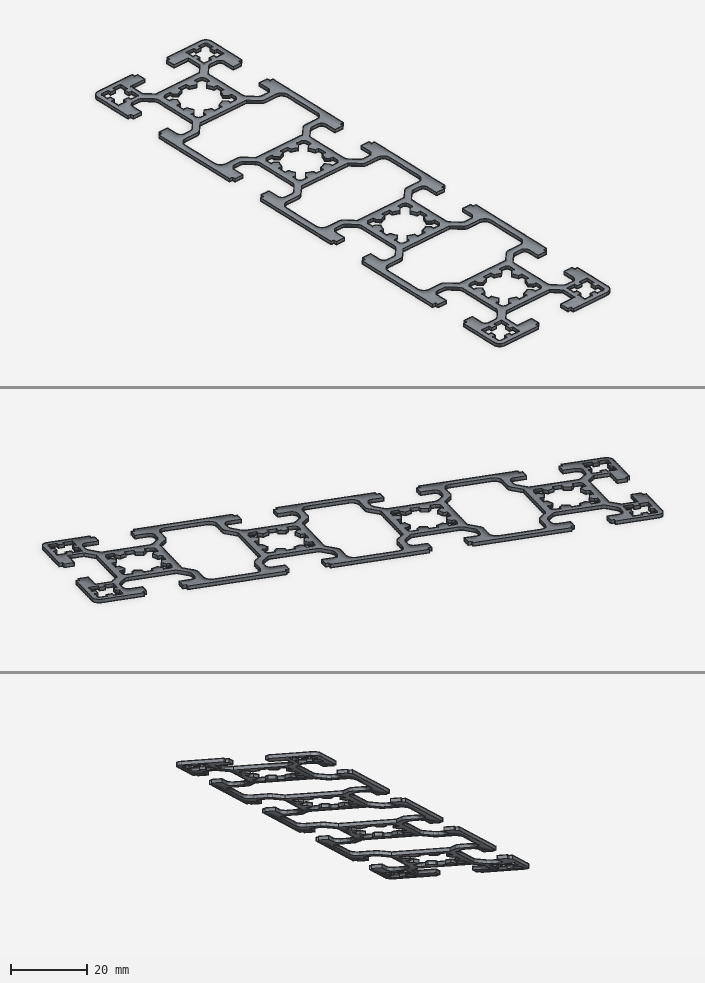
import cadquery as cq
import math

LENGTH = 160.0
WIDTH = 40.0
THICKNESS = 1.0
OUTER_CORNER_RADIUS = 2.0

CELL = WIDTH
CELL_COUNT = round(LENGTH / CELL)
HALF_CELL = CELL / 2
CELL_CENTRES = [(i - (CELL_COUNT - 1) / 2) * CELL for i in range(CELL_COUNT)]

WALL = 1.95
CORE_HALF = 9.0

SLOT_MOUTH_HALF = 5.1
SLOT_STEP = 1.0
LIP_THICKNESS = 3.9
SLOT_CAVITY_HALF = 10.1
SIDE_SLOT_FLOOR_HALF = 7.1
END_SLOT_FLOOR_HALF = 7.6
LIP_CORNER_RADIUS = 1.5
SLOPE_BLEND_RADIUS = 1.75

CHAMBER_CORNER_RADIUS = 2.2

CORE_HOLE_HALF = CORE_HALF - WALL
CORE_HOLE_CORNER_RADIUS = 1.2
TOOTH_CIRCLE_RADIUS = 6.0
TOOTH_INNER = 1.3
TOOTH_OUTER = 4.3
DIAGONAL_CHANNEL_WIDTH = 2.6

POCKET_SIZE = 7.0
POCKET_CENTRE_FROM_EDGE = 5.0
POCKET_OUTER_RADIUS = OUTER_CORNER_RADIUS - (POCKET_CENTRE_FROM_EDGE - POCKET_SIZE / 2)
POCKET_RIB_WIDTH = 1.7
POCKET_RIB_LENGTH = 1.0


def block(x_size, y_size):
    """Box of plate thickness standing on Z = 0, centred on the Z axis."""
    return cq.Workplane("XY").box(x_size, y_size, THICKNESS, centered=(True, True, False))


def make_cavity(floor_half):
    """Cutter for the hidden part of a T-slot: flat floor, 45 degree slopes, upright sides."""
    height = HALF_CELL - LIP_THICKNESS - CORE_HALF
    slope = SLOT_CAVITY_HALF - floor_half
    rectangle = block(2 * SLOT_CAVITY_HALF, height).translate((0, CORE_HALF + height / 2, 0))
    return rectangle.edges("|Z and <Y").chamfer(slope)


def make_mouth():
    """Cutter for the stepped mouth between the two lips of a T-slot."""
    depth = HALF_CELL - CORE_HALF
    mouth = block(2 * SLOT_MOUTH_HALF, depth).translate((0, HALF_CELL - depth / 2, 0))
    step_width = 2 * (SLOT_MOUTH_HALF + SLOT_STEP)
    step = block(step_width, SLOT_STEP).translate((0, HALF_CELL - SLOT_STEP / 2, 0))
    return mouth.union(step)


def make_side_slot():
    """Cutter for a slot in a long side, with rounded cavity, opening towards +Y."""
    cavity = make_cavity(SIDE_SLOT_FLOOR_HALF)
    cavity = cavity.edges("|Z and (not >Y)").fillet(SLOPE_BLEND_RADIUS)
    cavity = cavity.edges("|Z and >Y").fillet(LIP_CORNER_RADIUS)
    return cavity.union(make_mouth())


def make_end_slot():
    """Cutter for a slot in a short end, with sharp cavity corners, opening towards +Y."""
    return make_cavity(END_SLOT_FLOOR_HALF).union(make_mouth())


def make_chamber():
    """Cutter for the wide chamber centred between two cells."""
    throat_x = HALF_CELL - CORE_HALF
    waist_x = HALF_CELL - SLOT_CAVITY_HALF - WALL
    top_y = HALF_CELL - WALL
    slope_offset = CORE_HALF - SIDE_SLOT_FLOOR_HALF - WALL * math.sqrt(2)
    throat_y = HALF_CELL - throat_x + slope_offset
    waist_y = HALF_CELL - waist_x + slope_offset
    upper = [(-throat_x, throat_y), (-waist_x, waist_y), (-waist_x, top_y)]
    upper += [(-x, y) for x, y in reversed(upper)]
    lower = [(x, -y) for x, y in reversed(upper)]
    chamber = cq.Workplane("XY").polyline(upper + lower).close().extrude(THICKNESS)
    waist_corners = [(sx * waist_x, sy * waist_y) for sx in (-1, 1) for sy in (-1, 1)]
    for x, y in waist_corners:
        nearest = cq.selectors.NearestToPointSelector((x, y, THICKNESS / 2))
        chamber = chamber.edges("|Z").edges(nearest).fillet(SLOPE_BLEND_RADIUS)
    return chamber.edges("|Z and (>Y or <Y)").fillet(CHAMBER_CORNER_RADIUS)


def make_core_hole():
    """Cutter for the core hole: a square opening minus eight teeth pointing inwards."""
    side = 2 * CORE_HOLE_HALF
    opening = block(side, side).edges("|Z").fillet(CORE_HOLE_CORNER_RADIUS)
    tooth_width = TOOTH_OUTER - TOOTH_INNER
    tooth_x = (TOOTH_OUTER + TOOTH_INNER) / 2
    teeth = cq.Workplane("XY")
    for quarter in range(4):
        for sign in (-1, 1):
            tooth = block(tooth_width, CORE_HOLE_HALF).translate((sign * tooth_x, CORE_HOLE_HALF / 2, 0))
            teeth = teeth.add(tooth.rotate((0, 0, 0), (0, 0, 1), 90 * quarter))
    teeth = teeth.combine()
    teeth = teeth.cut(cq.Workplane("XY").circle(TOOTH_CIRCLE_RADIUS).extrude(THICKNESS))
    for angle in (45, 135):
        channel = block(2 * side, DIAGONAL_CHANNEL_WIDTH).rotate((0, 0, 0), (0, 0, 1), angle)
        teeth = teeth.cut(channel)
    return opening.cut(teeth)


def make_corner_pocket():
    """Cutter for a ribbed corner pocket whose rounded corner points towards +X +Y."""
    pocket = block(POCKET_SIZE, POCKET_SIZE)
    pocket = pocket.edges("|Z").edges(">(1, 1, 0)").fillet(POCKET_OUTER_RADIUS)
    offset = (POCKET_SIZE - POCKET_RIB_LENGTH) / 2
    for sign in (-1, 1):
        pocket = pocket.cut(block(POCKET_RIB_LENGTH, POCKET_RIB_WIDTH).translate((sign * offset, 0, 0)))
        pocket = pocket.cut(block(POCKET_RIB_WIDTH, POCKET_RIB_LENGTH).translate((0, sign * offset, 0)))
    return pocket


result = block(LENGTH, WIDTH).edges("|Z").fillet(OUTER_CORNER_RADIUS)

side_slot = make_side_slot()
core_hole = make_core_hole()
for cell_x in CELL_CENTRES:
    result = result.cut(core_hole.translate((cell_x, 0, 0)))
    for angle in (0, 180):
        slot = side_slot.rotate((0, 0, 0), (0, 0, 1), angle)
        result = result.cut(slot.translate((cell_x, 0, 0)))

end_slot = make_end_slot()
for cell_x, angle in ((CELL_CENTRES[0], 90), (CELL_CENTRES[-1], -90)):
    slot = end_slot.rotate((0, 0, 0), (0, 0, 1), angle)
    result = result.cut(slot.translate((cell_x, 0, 0)))

chamber = make_chamber()
for left_x, right_x in zip(CELL_CENTRES, CELL_CENTRES[1:]):
    result = result.cut(chamber.translate(((left_x + right_x) / 2, 0, 0)))

corner_pocket = make_corner_pocket()
pocket_x = LENGTH / 2 - POCKET_CENTRE_FROM_EDGE
pocket_y = WIDTH / 2 - POCKET_CENTRE_FROM_EDGE
right_pockets = corner_pocket.translate((pocket_x, pocket_y, 0))
right_pockets = right_pockets.union(right_pockets.mirror("XZ"))
result = result.cut(right_pockets).cut(right_pockets.mirror("YZ"))